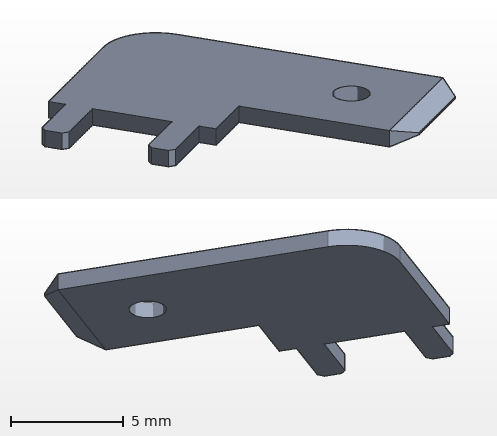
import cadquery as cq

thickness = 0.8
length = 16.2
depth = 12.0
corner_radius = 2.5

body_width = 8.0
pin_length = 3.0
tab_width = 6.3
tab_bottom = depth - tab_width

lead_in = 1.0
tip_thickness = 0.1

pin_width = 1.3
pin_pitch = 5.09
pin_chamfer = 0.25

hole_diameter = 1.65
hole_x = 12.1
hole_y = depth - tab_width / 2


def make_plate():
    """L-shaped plate with one rounded corner and a narrowing tab end."""
    outline = [
        (0, pin_length),
        (body_width, pin_length),
        (body_width, tab_bottom),
        (length - lead_in, tab_bottom),
        (length, tab_bottom + lead_in),
        (length, depth - lead_in),
        (length - lead_in, depth),
        (0, depth),
    ]
    plate = cq.Workplane("XY").polyline(outline).close().extrude(thickness)
    return plate.edges("|Z and <X and >Y").fillet(corner_radius)


def make_pin(center_x):
    """Solder pin with both free corners chamfered."""
    pin = cq.Workplane("XY").box(
        pin_width, pin_length, thickness, centered=(True, False, False)
    )
    return pin.edges("|Z and <Y").chamfer(pin_chamfer).translate((center_x, 0, 0))


def make_side_profile():
    """Side profile in XZ, tapering to the tip, swept over the full depth."""
    tip_bottom = (thickness - tip_thickness) / 2
    profile = [
        (0, 0),
        (length - lead_in, 0),
        (length, tip_bottom),
        (length, tip_bottom + tip_thickness),
        (length - lead_in, thickness),
        (0, thickness),
    ]
    return cq.Workplane("XZ").polyline(profile).close().extrude(-depth)


result = make_plate()
for side in (-1, 1):
    result = result.union(make_pin(body_width / 2 + side * pin_pitch / 2))

result = result.intersect(make_side_profile())

hole = cq.Workplane("XY").center(hole_x, hole_y).circle(hole_diameter / 2).extrude(thickness)
result = result.cut(hole)